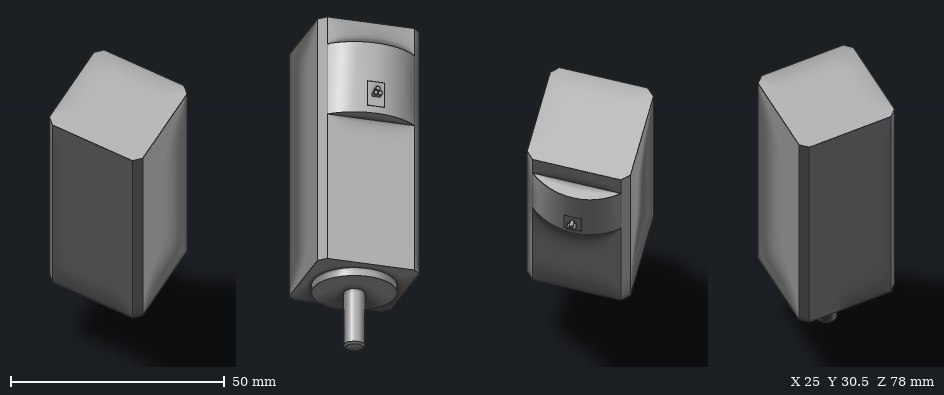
import cadquery as cq

total_height = 78
body_width = 25.0
body_height = 62.0
corner_chamfer = 1.8

pilot_diameter = 20.0
pilot_height = 2.0
shaft_diameter = 5.0
shaft_length = total_height - body_height - pilot_height
shaft_chamfer = 0.5

cover_rise = 4.0
cover_length = 18.0
cover_top_gap = 6.95
cover_half_width = body_width / 2 - corner_chamfer

pad_width = 4.2
pad_length = 6.25
pad_drop = 13.1
wire_rise = 0.3
wire_diameter = 1.0
wire_protrusion = 1.5
wire_pitch = 1.1

back_face = body_width / 2
cover_crest = back_face + cover_rise
cover_top = body_height - cover_top_gap
pad_center = cover_top - pad_drop
wire_center = pad_center + wire_rise


def make_body():
    block = cq.Workplane("XY").rect(body_width, body_width).extrude(body_height)
    return block.edges("|Z").chamfer(corner_chamfer)


def make_pilot():
    return cq.Workplane("XY").circle(pilot_diameter / 2).extrude(-pilot_height)


def make_shaft():
    shaft = (
        cq.Workplane("XY")
        .workplane(offset=-pilot_height)
        .circle(shaft_diameter / 2)
        .extrude(-shaft_length)
    )
    return shaft.faces("<Z").chamfer(shaft_chamfer)


def make_cover():
    return (
        cq.Workplane("XY")
        .workplane(offset=cover_top)
        .moveTo(-cover_half_width, back_face)
        .threePointArc((0, cover_crest), (cover_half_width, back_face))
        .close()
        .extrude(-cover_length)
    )


def make_pad():
    return (
        cq.Workplane("XY")
        .box(pad_width, cover_rise, pad_length, centered=(True, False, True))
        .translate((0, back_face, pad_center))
    )


def rod_along_y(diameter, x, z, start, end):
    """Round bar parallel to Y between two Y positions."""
    axis = cq.Vector(0, 1, 0)
    rod = cq.Solid.makeCylinder(diameter / 2, end - start, cq.Vector(x, start, z), axis)
    return cq.Workplane(obj=rod)


result = make_body().union(make_pilot()).union(make_shaft()).union(make_cover()).union(make_pad())

wire_places = [
    (0, wire_pitch / 2),
    (-wire_pitch / 2, -wire_pitch / 2),
    (wire_pitch / 2, -wire_pitch / 2),
]
wire_root = back_face
wire_end = cover_crest + wire_protrusion
for x, rise in wire_places:
    result = result.union(rod_along_y(wire_diameter, x, wire_center + rise, wire_root, wire_end))